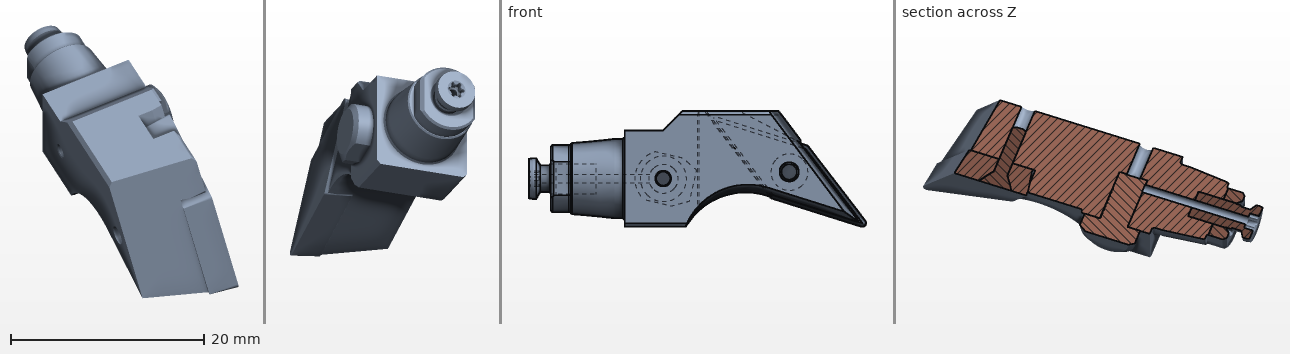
import cadquery as cq
import math

HALF_WIDTH = 5.0
BLOCK_BOTTOM = -5.0
STEP_HEIGHT = 5.0
STEP_LENGTH = 4.0
BLOCK_TOP = 7.0
EDGE_CHAMFER = 0.4
SIDE_FACE_Y = HALF_WIDTH - EDGE_CHAMFER
SIDE_RAMP_X = 7.5

NOSE_ANGLE = 35.0
LOWER_ANGLE = 17.5
UPPER_ANGLE = LOWER_ANGLE + NOSE_ANGLE
UPPER_FLANK_ANGLE = 53.1
FLANK_LEAN = 5.0
NOSE_TIP_X = 22.73
NOSE_TIP_Z = -3.42
RELIEF_RADIUS = 6.95
RELIEF_GROWTH = 0.03
RELIEF_START_X = 14.75
RELIEF_END_X = 6.3

SHANK_START = -5.58
SHANK_TIP_RADIUS = 3.7
SHANK_TIP_CHAMFER = 0.15
TAPER_END = -1.05
SHANK_RADIUS = 4.12
FLARE_START = -0.2
FLARE_RADIUS = 4.28

COLLAR_START = -7.66
COLLAR_END = -5.75
COLLAR_RADIUS = 3.5
COLLAR_FLAT = 3.05
COLLAR_CHAMFER = 0.22
COLLAR_FLAT_BEVEL = 0.35
COLLAR_SINK_RADIUS = 2.05
COLLAR_SINK_DEPTH = 0.55

STUD_START = -9.9
STUD_RIM_RADIUS = 2.05
STUD_RIM_END = -9.47
STUD_HEAD_RADIUS = 2.13
STUD_HEAD_END = -9.15
STUD_CONE_END = -8.82
STUD_RADIUS = 1.55
STUD_NECK_RADIUS = 1.4
STUD_NECK_FLARE = 0.1
STUD_END = -3.0
TORX_RADIUS = 0.9
TORX_LOBES = 6
TORX_LOBE_RADIUS = 0.2
TORX_CORE_RADIUS = 0.65
TORX_DEPTH = 1.0
TORX_SINK_RADIUS = 1.0
TORX_SINK_DEPTH = 0.15
COOLANT_RADIUS = 0.45

NOZZLE_X = 4.0
NOZZLE_HEAD_RADIUS = 2.95
NOZZLE_FLAT = 2.55
NOZZLE_TILT = -13.0
NOZZLE_FRONT = 3.14
NOZZLE_FRONT_HALF = 1.65
NOZZLE_HEIGHT = 2.0
NOZZLE_TOP_RADIUS = 2.37
NOZZLE_CONE_SLOPE = 0.65
NOZZLE_SHANK_RADIUS = 1.5
NOZZLE_SHANK_LENGTH = 6.0
NOZZLE_HOLE_RADIUS = 0.72
NOZZLE_HOLE_CHAMFER = 0.1

INSERT_CIRCLE = 6.35
INSERT_THICKNESS = 3.18
INSERT_RELIEF = 7.0
INSERT_NOSE = 0.4
INSERT_TIP_X = 25.0
INSERT_TIP_Z = -5.0
POCKET_TAPER_DEPTH = 1.57
LIP_EDGE_X = 11.86
LIP_END_X = 18.25
LIP_ANGLE = 27.3

SCREW_RADIUS = 1.0
SCREW_HEAD_RADIUS = 1.9
SCREW_HEAD_LENGTH = 1.6
SCREW_END_Y = -2.5
SCREW_END_CHAMFER = 0.2
MARGIN = 2.0
PICK_RANGE = 0.1


def direction(angle):
    """Unit vector in the XZ plane, angle in degrees from +X."""
    return cq.Vector(math.cos(math.radians(angle)), math.sin(math.radians(angle)))


def side_plane(y):
    """Sketch plane with local axes X and Z; extrusions run towards -Y."""
    return cq.Workplane("XZ", origin=(0, y, 0))


def shank_cylinder(start, end, radius):
    return cq.Workplane("YZ", origin=(start, 0, 0)).circle(radius).extrude(end - start)


half_nose = math.radians(NOSE_ANGLE / 2)
axis_down = direction(-(LOWER_ANGLE + UPPER_ANGLE) / 2)
nose_center = cq.Vector(INSERT_TIP_X - INSERT_NOSE, INSERT_TIP_Z + INSERT_NOSE)
insert_tip = nose_center + axis_down * (INSERT_NOSE / math.sin(half_nose))
insert_center = insert_tip - axis_down * (INSERT_CIRCLE / 2 / math.sin(half_nose))
insert_back = insert_center * 2 - insert_tip
insert_edge = INSERT_CIRCLE / math.sin(2 * half_nose)


def block_outline(y):
    """Closed side outline of the block at one Y; flanks move out as y grows."""
    lean = (y + HALF_WIDTH) * math.tan(math.radians(FLANK_LEAN))
    half_flanks = (UPPER_FLANK_ANGLE - LOWER_ANGLE) / 2
    shift = direction(-LOWER_ANGLE - half_flanks) * (lean / math.sin(math.radians(half_flanks)))
    tip = cq.Vector(NOSE_TIP_X, NOSE_TIP_Z) + shift
    top_x = tip.x - (BLOCK_TOP - tip.y) / math.tan(math.radians(UPPER_FLANK_ANGLE))

    lower_drop = math.tan(math.radians(LOWER_ANGLE))
    relief_start = cq.Vector(RELIEF_START_X, tip.y + (tip.x - RELIEF_START_X) * lower_drop)
    relief_end = cq.Vector(RELIEF_END_X, BLOCK_BOTTOM)
    chord = relief_end - relief_start
    radius = RELIEF_RADIUS + RELIEF_GROWTH * (y + HALF_WIDTH)
    sagitta = radius - math.sqrt(radius**2 - (chord.Length / 2) ** 2)
    outward = cq.Vector(chord.y, -chord.x).normalized()
    relief_middle = (relief_start + relief_end) * 0.5 + outward * sagitta

    rise = BLOCK_TOP - STEP_HEIGHT
    return (
        side_plane(y)
        .moveTo(0, BLOCK_BOTTOM)
        .lineTo(0, STEP_HEIGHT)
        .lineTo(STEP_LENGTH, STEP_HEIGHT)
        .lineTo(STEP_LENGTH + rise, BLOCK_TOP)
        .lineTo(top_x, BLOCK_TOP)
        .lineTo(tip.x, tip.y)
        .lineTo(relief_start.x, relief_start.y)
        .threePointArc((relief_middle.x, relief_middle.y), (relief_end.x, relief_end.y))
        .close()
        .val()
    )


def thin_box(x_start, x_end, z):
    """Selector for edges at height z between two X positions."""
    reach = HALF_WIDTH + MARGIN
    low = (x_start, -reach, z - PICK_RANGE)
    high = (x_end, reach, z + PICK_RANGE)
    return cq.selectors.BoxSelector(low, high)


def make_block():
    """Block body lofted between its two side outlines, long edges chamfered."""
    outlines = [block_outline(-HALF_WIDTH), block_outline(HALF_WIDTH)]
    block = cq.Workplane(cq.Solid.makeLoft(outlines, True))
    long_edges = block.edges("|X")
    top_edges = long_edges.edges(thin_box(STEP_LENGTH, INSERT_TIP_X, BLOCK_TOP))
    block = top_edges.chamfer(EDGE_CHAMFER)
    long_edges = block.edges("|X")
    bottom_edges = long_edges.edges(thin_box(0, RELIEF_END_X, BLOCK_BOTTOM))
    return bottom_edges.chamfer(EDGE_CHAMFER)


def make_shank():
    """Tapered shank with a small flare at the block."""
    chamfer_end = SHANK_START + SHANK_TIP_CHAMFER
    outline = [
        (SHANK_START, 0),
        (SHANK_START, SHANK_TIP_RADIUS - SHANK_TIP_CHAMFER),
        (chamfer_end, SHANK_TIP_RADIUS),
        (TAPER_END, SHANK_RADIUS),
        (FLARE_START, SHANK_RADIUS),
        (0, FLARE_RADIUS),
        (0, 0),
    ]
    return cq.Workplane("XY").polyline(outline).close().revolve(360, (0, 0), (1, 0))


def flatted_disc(start, end):
    """Disc on the shank axis with two flats facing +Y and -Y."""
    disc = shank_cylinder(start, end, COLLAR_RADIUS)
    slab = cq.Workplane("XY").box(4 * COLLAR_RADIUS, 2 * COLLAR_FLAT, 4 * COLLAR_RADIUS)
    return disc.intersect(slab.translate((start, 0, 0)))


def make_side_drop():
    """Tool that lowers the +Y face beside the insert, with a sloped start."""
    far = INSERT_TIP_X + MARGIN
    outline = [
        (SIDE_RAMP_X, HALF_WIDTH),
        (SIDE_RAMP_X + EDGE_CHAMFER / 2, SIDE_FACE_Y),
        (far, SIDE_FACE_Y),
        (far, HALF_WIDTH + MARGIN),
        (SIDE_RAMP_X, HALF_WIDTH + MARGIN),
    ]
    height = BLOCK_TOP - BLOCK_BOTTOM + 2 * MARGIN
    base = cq.Workplane("XY", origin=(0, 0, BLOCK_BOTTOM - MARGIN))
    return base.polyline(outline).close().extrude(height)


def make_lip_chamfer():
    """Tool that bevels the top edge of the lip above the insert."""
    outline = [
        (SIDE_FACE_Y - EDGE_CHAMFER, BLOCK_TOP),
        (SIDE_FACE_Y, BLOCK_TOP - EDGE_CHAMFER),
        (HALF_WIDTH, BLOCK_TOP - EDGE_CHAMFER),
        (HALF_WIDTH, BLOCK_TOP),
    ]
    start = cq.Workplane("YZ", origin=(LIP_EDGE_X - MARGIN, 0, 0))
    return start.polyline(outline).close().extrude(INSERT_TIP_X - LIP_EDGE_X)


def pocket_outline(y, seat_inset):
    """Insert pocket: seat wall on the left, lip wall on top, open at the nose."""
    roof = BLOCK_TOP + MARGIN
    floor = BLOCK_BOTTOM - MARGIN
    far = INSERT_TIP_X + MARGIN
    seat_tan = math.tan(math.radians(UPPER_ANGLE))
    lip_tan = math.tan(math.radians(LIP_ANGLE))
    seat_x = insert_back.x + seat_inset / math.sin(math.radians(UPPER_ANGLE))
    corners = [
        (seat_x - (roof - insert_back.y) / seat_tan, roof),
        (seat_x + (insert_back.y - floor) / seat_tan, floor),
        (far, floor),
        (far, roof),
        (LIP_END_X, roof),
        (LIP_END_X, BLOCK_TOP - (LIP_END_X - LIP_EDGE_X) * lip_tan),
        (LIP_EDGE_X, BLOCK_TOP),
        (LIP_EDGE_X, roof),
    ]
    return side_plane(y).polyline(corners).close()


def make_pocket():
    """The seat follows the insert's relief first, then runs straight to the floor."""
    inset = POCKET_TAPER_DEPTH * math.tan(math.radians(INSERT_RELIEF))
    knee_y = HALF_WIDTH - POCKET_TAPER_DEPTH
    outlines = [pocket_outline(HALF_WIDTH, 0).val(), pocket_outline(knee_y, inset).val()]
    upper = cq.Workplane(cq.Solid.makeLoft(outlines, True))
    lower = pocket_outline(knee_y, inset).extrude(INSERT_THICKNESS - POCKET_TAPER_DEPTH)
    return upper.union(lower)


def make_holder():
    holder = make_block().cut(make_side_drop())
    holder = holder.cut(make_lip_chamfer()).cut(make_pocket())
    holder = holder.union(make_shank()).union(flatted_disc(COLLAR_END, SHANK_START))
    holder = holder.cut(shank_cylinder(COLLAR_END, STUD_END, STUD_RADIUS))
    holder = holder.cut(shank_cylinder(STUD_END, NOZZLE_X, COOLANT_RADIUS))

    nozzle_axis = side_plane(HALF_WIDTH).center(NOZZLE_X, 0)
    holder = holder.cut(nozzle_axis.circle(NOZZLE_SHANK_RADIUS).extrude(NOZZLE_SHANK_LENGTH))
    holder = holder.cut(nozzle_axis.circle(NOZZLE_HOLE_RADIUS).extrude(2 * HALF_WIDTH))
    hole_mouth = cq.Vector(NOZZLE_X, -HALF_WIDTH, 0)
    hole_rim = holder.edges("%CIRCLE").edges(cq.NearestToPointSelector(hole_mouth.toTuple()))
    holder = hole_rim.chamfer(NOZZLE_HOLE_CHAMFER)
    screw_axis = side_plane(HALF_WIDTH).center(insert_center.x, insert_center.y)
    return holder.cut(screw_axis.circle(SCREW_RADIUS).extrude(2 * HALF_WIDTH))


def make_collar():
    """Collar with wrench flats, bevelled front edges and a countersunk bore."""
    round_chamfer = shank_cylinder(COLLAR_START, COLLAR_END, COLLAR_RADIUS)
    round_chamfer = round_chamfer.faces("<X").chamfer(COLLAR_CHAMFER)
    collar = flatted_disc(COLLAR_START, COLLAR_END).intersect(round_chamfer)
    for side in (1, -1):
        bevel = [
            (COLLAR_START, side * (COLLAR_FLAT - COLLAR_FLAT_BEVEL)),
            (COLLAR_START + COLLAR_FLAT_BEVEL, side * COLLAR_FLAT),
            (COLLAR_START, side * COLLAR_FLAT),
        ]
        tool = cq.Workplane("XY").polyline(bevel).close().extrude(COLLAR_RADIUS, both=True)
        collar = collar.cut(tool)
    sink = [
        (COLLAR_START, 0),
        (COLLAR_START, COLLAR_SINK_RADIUS),
        (COLLAR_START + COLLAR_SINK_DEPTH, STUD_RADIUS),
        (COLLAR_START + COLLAR_SINK_DEPTH, 0),
    ]
    collar = collar.cut(cq.Workplane("XY").polyline(sink).close().revolve(360, (0, 0), (1, 0)))
    return collar.cut(shank_cylinder(COLLAR_START, COLLAR_END, STUD_RADIUS))


def make_stud():
    """Headed stud with a six-lobe socket and a coolant bore along its axis."""
    outline = [
        (STUD_START, 0),
        (STUD_START, STUD_RIM_RADIUS),
        (STUD_RIM_END, STUD_HEAD_RADIUS),
        (STUD_HEAD_END, STUD_HEAD_RADIUS),
        (STUD_CONE_END, STUD_RADIUS),
        (STUD_CONE_END + STUD_NECK_FLARE, STUD_NECK_RADIUS),
        (COLLAR_START - STUD_NECK_FLARE, STUD_NECK_RADIUS),
        (COLLAR_START, STUD_RADIUS),
        (STUD_END, STUD_RADIUS),
        (STUD_END, 0),
    ]
    stud = cq.Workplane("XY").polyline(outline).close().revolve(360, (0, 0), (1, 0))
    face = cq.Workplane("YZ", origin=(STUD_START, 0, 0))
    socket = face.circle(TORX_CORE_RADIUS).extrude(TORX_DEPTH)
    lobes = face.polarArray(TORX_RADIUS - TORX_LOBE_RADIUS, 0, 360, TORX_LOBES)
    socket = socket.union(lobes.circle(TORX_LOBE_RADIUS).extrude(TORX_DEPTH))
    sink = cq.Solid.makeCone(
        TORX_SINK_RADIUS,
        TORX_CORE_RADIUS,
        TORX_SINK_DEPTH,
        pnt=cq.Vector(STUD_START, 0, 0),
        dir=cq.Vector(1, 0, 0),
    )
    stud = stud.cut(socket).cut(cq.Workplane(sink))
    return stud.cut(shank_cylinder(STUD_START, STUD_END, COOLANT_RADIUS))


def make_nozzle():
    """Nozzle: round back, two flats, squared front with cut corners, conical top."""
    back_x = math.sqrt(NOZZLE_HEAD_RADIUS**2 - NOZZLE_FLAT**2)
    head = (
        side_plane(HALF_WIDTH)
        .moveTo(-back_x, NOZZLE_FLAT)
        .lineTo(back_x, NOZZLE_FLAT)
        .lineTo(NOZZLE_FRONT, NOZZLE_FRONT_HALF)
        .lineTo(NOZZLE_FRONT, -NOZZLE_FRONT_HALF)
        .lineTo(back_x, -NOZZLE_FLAT)
        .lineTo(-back_x, -NOZZLE_FLAT)
        .threePointArc((-NOZZLE_HEAD_RADIUS, 0), (-back_x, NOZZLE_FLAT))
        .close()
        .extrude(-NOZZLE_HEIGHT)
    )
    top_y = HALF_WIDTH + NOZZLE_HEIGHT
    cone_foot = NOZZLE_TOP_RADIUS + NOZZLE_HEIGHT / NOZZLE_CONE_SLOPE
    outline = [(0, HALF_WIDTH), (cone_foot, HALF_WIDTH), (NOZZLE_TOP_RADIUS, top_y), (0, top_y)]
    cone = cq.Workplane("XY").polyline(outline).close().revolve(360, (0, 0), (0, 1))
    shank = side_plane(HALF_WIDTH).circle(NOZZLE_SHANK_RADIUS).extrude(NOZZLE_SHANK_LENGTH)
    nozzle = head.intersect(cone).union(shank)
    return nozzle.rotate((0, 0, 0), (0, 1, 0), -NOZZLE_TILT).translate((NOZZLE_X, 0, 0))


def make_screw():
    """Countersunk insert screw, flush with the insert face."""
    head_end = HALF_WIDTH - SCREW_HEAD_LENGTH
    outline = [
        (0, HALF_WIDTH),
        (SCREW_HEAD_RADIUS, HALF_WIDTH),
        (SCREW_RADIUS, head_end),
        (SCREW_RADIUS, SCREW_END_Y + SCREW_END_CHAMFER),
        (SCREW_RADIUS - SCREW_END_CHAMFER, SCREW_END_Y),
        (0, SCREW_END_Y),
    ]
    screw = cq.Workplane("XY").polyline(outline).close().revolve(360, (0, 0), (0, 1))
    return screw.translate((insert_center.x, 0, insert_center.y))


def make_insert():
    """Rhombic insert with rounded acute corners and sides that taper inward."""
    to_upper = direction(180 - UPPER_ANGLE) * insert_edge
    to_lower = direction(180 - LOWER_ANGLE) * insert_edge
    corners = [insert_tip, insert_tip + to_upper, insert_back, insert_tip + to_lower]
    outline = cq.Sketch().polygon([(p.x, p.y) for p in corners + corners[:1]])
    outline = outline.vertices().fillet(INSERT_NOSE)
    insert = side_plane(HALF_WIDTH).placeSketch(outline)
    insert = insert.extrude(INSERT_THICKNESS, taper=INSERT_RELIEF)
    return insert.cut(make_screw())


result = cq.Compound.makeCompound(
    [
        make_holder().val(),
        make_collar().val(),
        make_stud().val(),
        make_nozzle().val(),
        make_insert().val(),
        make_screw().val(),
    ]
)